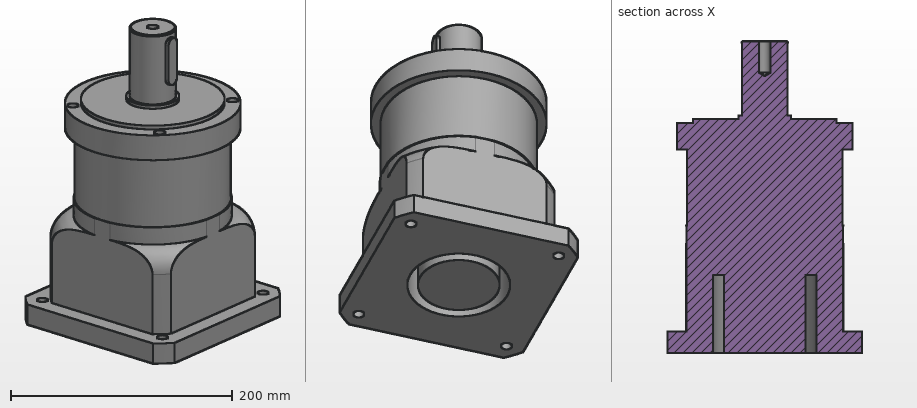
import cadquery as cq
import math

plate_top = 19.7
shoulder_top = 98.7
ring_top = 115.3
flange_bottom = 184.0
flange_top = 208.0
pilot_top = 211.8
collar_top = 215.0
shaft_top = 282.0

plate_width = 176.0
plate_corner_diameter = 230.0
plate_hole_diameter = 10.0
plate_hole_circle = 200.2

housing_width = 142.0
housing_corner_diameter = 185.0
ring_diameter = 143.3
shoulder_radius = (housing_corner_diameter - ring_diameter) / 2

barrel_diameter = 141.5
flange_diameter = 159.0
pilot_diameter = 130.0
collar_diameter = 48.0

shaft_diameter = 42.0
shaft_chamfer = 1.0

key_width = 12.0
key_bottom = 231.5
key_top = 277.2
key_outer_x = 23.7

drill_diameter = 10.2
drill_tip_angle = 118
flange_hole_circle = 145.0
flange_hole_depth = 19.7
shaft_hole_depth = 28.2

bore_diameter = 93.0
hub_diameter = 74.0
bore_depth = 70.5
access_diameter = 22.3
access_y = -29.3
access_z = 45.7


def disc(diameter, bottom, top):
    """Cylinder on the main axis between two levels."""
    return cq.Workplane("XY").workplane(offset=bottom).circle(diameter / 2).extrude(top - bottom)


def square_bar(width, bottom, top):
    """Square prism on the main axis between two levels."""
    return cq.Workplane("XY").workplane(offset=bottom).rect(width, width).extrude(top - bottom)


def diagonal_points(circle_diameter):
    """Four points on the diagonals of a bolt circle."""
    offset = circle_diameter / 2 / math.sqrt(2)
    return [(x, y) for x in (-offset, offset) for y in (-offset, offset)]


def drilled_hole(x, y, top, depth):
    """Blind hole cutter: full-diameter depth plus a conical drill tip."""
    radius = drill_diameter / 2
    tip_length = radius / math.tan(math.radians(drill_tip_angle / 2))
    profile = (
        cq.Workplane("XZ")
        .moveTo(0, top)
        .lineTo(radius, top)
        .lineTo(radius, top - depth)
        .lineTo(0, top - depth - tip_length)
        .close()
    )
    return profile.revolve(360, (0, 0, 0), (0, 1, 0)).translate((x, y, 0))


def make_plate():
    plate = square_bar(plate_width, 0, plate_top).intersect(disc(plate_corner_diameter, 0, plate_top))
    return (
        plate.faces(">Z").workplane(origin=(0, 0, plate_top))
        .pushPoints(diagonal_points(plate_hole_circle))
        .hole(plate_hole_diameter)
    )


def make_housing():
    corner_radius = housing_corner_diameter / 2
    turned_blank = (
        cq.Workplane("XZ")
        .moveTo(0, plate_top)
        .lineTo(corner_radius, plate_top)
        .lineTo(corner_radius, shoulder_top - shoulder_radius)
        .radiusArc((ring_diameter / 2, shoulder_top), -shoulder_radius)
        .lineTo(ring_diameter / 2, ring_top)
        .lineTo(0, ring_top)
        .close()
        .revolve(360, (0, 0, 0), (0, 1, 0))
    )
    return turned_blank.intersect(square_bar(housing_width, plate_top, ring_top))


def make_key():
    length = key_top - key_bottom
    return (
        cq.Workplane("YZ")
        .center(0, (key_top + key_bottom) / 2)
        .slot2D(length, key_width, 90)
        .extrude(key_outer_x)
    )


def make_output_side():
    barrel = disc(barrel_diameter, ring_top, flange_bottom)
    flange = disc(flange_diameter, flange_bottom, flange_top)
    pilot = disc(pilot_diameter, flange_top, pilot_top)
    collar = disc(collar_diameter, pilot_top, collar_top)
    shaft = disc(shaft_diameter, collar_top, shaft_top).faces(">Z").chamfer(shaft_chamfer)
    return barrel.union(flange).union(pilot).union(collar).union(shaft).union(make_key())


def make_input_cavity():
    bore = disc(bore_diameter, 0, bore_depth)
    access = (
        cq.Workplane("YZ")
        .center(access_y, access_z)
        .circle(access_diameter / 2)
        .extrude(-housing_width)
    )
    hub = disc(hub_diameter, 0, bore_depth)
    return bore.union(access).cut(hub)


result = make_plate().union(make_housing()).union(make_output_side())
for x, y in diagonal_points(flange_hole_circle):
    result = result.cut(drilled_hole(x, y, flange_top, flange_hole_depth))
result = result.cut(drilled_hole(0, 0, shaft_top, shaft_hole_depth))
result = result.cut(make_input_cavity())